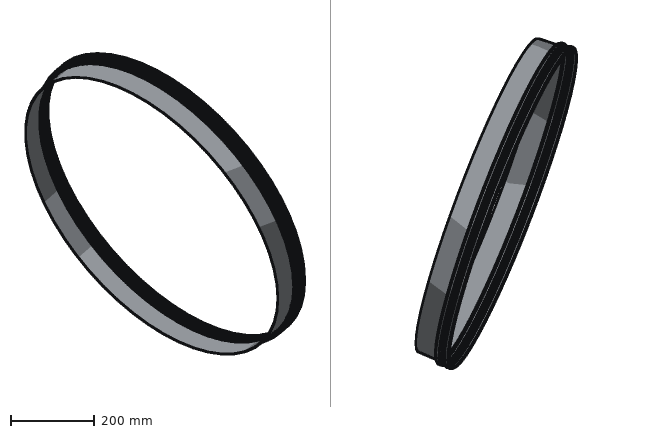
import cadquery as cq

length = 89.0
wall = 2.1
crest_radius = 826 / 2
groove_radius = 819.0 / 2
skirt_root_radius = 809.5 / 2
skirt_rim_radius = 805.0 / 2

bead_width = 7.5
groove_width = 5.0
groove_flank = 5.0
end_flank = 3.0
shoulder_wall = 2.0
bead_pitch = bead_width + groove_width + 2 * groove_flank
band_width = bead_pitch + bead_width + 2 * end_flank

rim_y = -length / 2
back_y = length / 2
band_start_y = back_y - band_width
first_bead_y = band_start_y + end_flank
second_bead_y = first_bead_y + bead_pitch
groove_y = first_bead_y + bead_width + groove_flank

skirt_points = [(skirt_rim_radius, rim_y), (skirt_root_radius, band_start_y)]
shoulder_point = (groove_radius, band_start_y)
bead_points = [
    (crest_radius, first_bead_y),
    (crest_radius, first_bead_y + bead_width),
    (groove_radius, groove_y),
    (groove_radius, groove_y + groove_width),
    (crest_radius, second_bead_y),
    (crest_radius, second_bead_y + bead_width),
    (groove_radius, back_y),
]
outer_points = skirt_points + [shoulder_point] + bead_points

inner_shoulder_y = band_start_y + shoulder_wall
inner_skirt_points = [
    (skirt_rim_radius - wall, rim_y),
    (skirt_root_radius - wall, inner_shoulder_y),
    (groove_radius - wall, inner_shoulder_y),
]
inner_bead_points = [(radius - wall, y) for radius, y in bead_points]
inner_points = list(reversed(inner_skirt_points + inner_bead_points))

profile = cq.Workplane("XY").polyline(outer_points + inner_points).close()
result = profile.revolve(360, (0, 0, 0), (0, 1, 0))